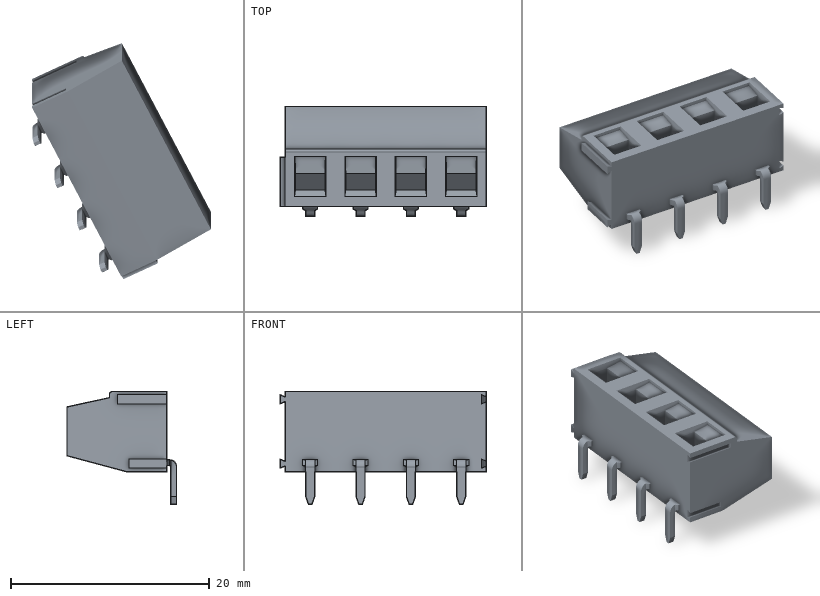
import cadquery as cq
import math

overall_length = 20.82

pole_count = 4
pole_pitch = 5.08
housing_length = pole_count * pole_pitch
housing_depth = 10.1
housing_height = 8.12
raised_top_depth = 5.8
raised_top_step = 0.62
raised_top_radius = 0.31
back_top_drop = 1.56
back_bottom_rise = 1.62
flat_bottom_depth = 4.04

dovetail_depth = overall_length - housing_length
dovetail_wide = 0.92
dovetail_neck = 0.5
upper_dovetail_length = 5.0
upper_dovetail_drop = 0.8
upper_dovetail_height = housing_height - upper_dovetail_drop
lower_dovetail_length = 3.83
lower_dovetail_height = 0.83

pocket_width = 3.19
pocket_front = 1.02
pocket_back = 5.04
pocket_depth = 4.16
rim_depth = 0.6
rim_front_flare = 0.65
rim_side_flare = 0.1
ledge_front = 3.35
ledge_back_depth = 0.4

pin_width = 0.92
pin_thickness = 0.6
pin_top = 1.23
pin_bottom = -3.29
pin_reach = 1.0
pin_tip_width = 0.35
pin_tip_length = 0.8
collar_width = 1.52
collar_reach = 0.25
collar_shoulder = 0.17
pin_bend_radius = pin_reach - collar_reach


def side_profile(x_start):
    """Sketch plane with local axes Y and Z, extruding toward +X."""
    return cq.Workplane("YZ", origin=(x_start, 0, 0))


def make_housing():
    shoulder_height = housing_height - raised_top_step
    arc_inset = raised_top_radius * (1 - math.sqrt(0.5))
    return (
        side_profile(0)
        .moveTo(0, 0)
        .lineTo(flat_bottom_depth, 0)
        .lineTo(housing_depth, back_bottom_rise)
        .lineTo(housing_depth, housing_height - back_top_drop)
        .lineTo(raised_top_depth, shoulder_height)
        .lineTo(raised_top_depth, housing_height - raised_top_radius)
        .threePointArc(
            (raised_top_depth - arc_inset, housing_height - arc_inset),
            (raised_top_depth - raised_top_radius, housing_height),
        )
        .lineTo(0, housing_height)
        .close()
        .extrude(housing_length)
    )


def make_dovetail(x_neck, length, centre_height):
    """Dovetail bar widening toward -X, running back from the front face."""
    x_wide = x_neck - dovetail_depth
    return (
        cq.Workplane("XZ")
        .polyline([
            (x_neck, centre_height - dovetail_neck / 2),
            (x_neck, centre_height + dovetail_neck / 2),
            (x_wide, centre_height + dovetail_wide / 2),
            (x_wide, centre_height - dovetail_wide / 2),
        ])
        .close()
        .extrude(-length)
    )


def make_pocket(x_centre):
    """Vertical shaft below a flared rim, with a sloping ledge left standing at its back."""
    shaft_front = pocket_front + rim_front_flare
    shaft_width = pocket_width - 2 * rim_side_flare
    shaft_depth = pocket_depth - rim_depth
    rim = (
        cq.Workplane("XY", origin=(x_centre, 0, housing_height))
        .center(0, (pocket_front + pocket_back) / 2)
        .rect(pocket_width, pocket_back - pocket_front)
        .workplane(offset=-rim_depth)
        .center(0, rim_front_flare / 2)
        .rect(shaft_width, pocket_back - shaft_front)
        .loft(ruled=True)
    )
    shaft = cq.Workplane("XY").box(
        shaft_width, pocket_back - shaft_front, shaft_depth, centered=(True, False, False)
    )
    shaft = shaft.translate((x_centre, shaft_front, housing_height - pocket_depth))
    ledge = (
        side_profile(x_centre - pocket_width / 2)
        .polyline([
            (ledge_front, housing_height - pocket_depth),
            (ledge_front, housing_height - rim_depth),
            (pocket_back, housing_height - ledge_back_depth),
            (pocket_back, housing_height - pocket_depth),
        ])
        .close()
        .extrude(pocket_width)
    )
    return rim.union(shaft).cut(ledge)


def make_bent_strip(x_centre, width):
    """Flat strip leaving the front face and bent straight down."""
    bend_z = pin_top - pin_bend_radius
    inner_radius = pin_bend_radius - pin_thickness
    inner_face_y = pin_thickness - pin_reach
    diagonal = math.sqrt(0.5)
    return (
        side_profile(x_centre - width / 2)
        .moveTo(0, pin_top)
        .lineTo(-collar_reach, pin_top)
        .threePointArc(
            (-collar_reach - pin_bend_radius * diagonal, bend_z + pin_bend_radius * diagonal),
            (-pin_reach, bend_z),
        )
        .lineTo(-pin_reach, pin_bottom)
        .lineTo(inner_face_y, pin_bottom)
        .lineTo(inner_face_y, bend_z)
        .threePointArc(
            (-collar_reach - inner_radius * diagonal, bend_z + inner_radius * diagonal),
            (-collar_reach, pin_top - pin_thickness),
        )
        .lineTo(0, pin_top - pin_thickness)
        .close()
        .extrude(width)
    )


def make_pin(x_centre):
    """Bent pin with a blunt point, widened to a collar where it leaves the housing."""
    tip_start = pin_bottom + pin_tip_length
    pointed_outline = (
        cq.Workplane("XZ", origin=(x_centre, 0, 0))
        .polyline([
            (-pin_width / 2, pin_top),
            (-pin_width / 2, tip_start),
            (-pin_tip_width / 2, pin_bottom),
            (pin_tip_width / 2, pin_bottom),
            (pin_width / 2, tip_start),
            (pin_width / 2, pin_top),
        ])
        .close()
        .extrude(pin_reach)
    )
    shoulder_end = collar_reach + collar_shoulder
    collar_outline = (
        cq.Workplane("XY", origin=(x_centre, 0, pin_top - pin_bend_radius))
        .polyline([
            (-collar_width / 2, 0),
            (-collar_width / 2, -collar_reach),
            (-pin_width / 2, -shoulder_end),
            (pin_width / 2, -shoulder_end),
            (collar_width / 2, -collar_reach),
            (collar_width / 2, 0),
        ])
        .close()
        .extrude(pin_bend_radius)
    )
    pin = make_bent_strip(x_centre, pin_width).intersect(pointed_outline)
    collar = make_bent_strip(x_centre, collar_width).intersect(collar_outline)
    return pin.union(collar)


result = make_housing()

for length, centre_height in (
    (upper_dovetail_length, upper_dovetail_height),
    (lower_dovetail_length, lower_dovetail_height),
):
    result = result.cut(make_dovetail(housing_length, length, centre_height))
    result = result.union(make_dovetail(0, length, centre_height))

for pole in range(pole_count):
    pole_x = (pole + 0.5) * pole_pitch
    result = result.cut(make_pocket(pole_x))
    result = result.union(make_pin(pole_x))